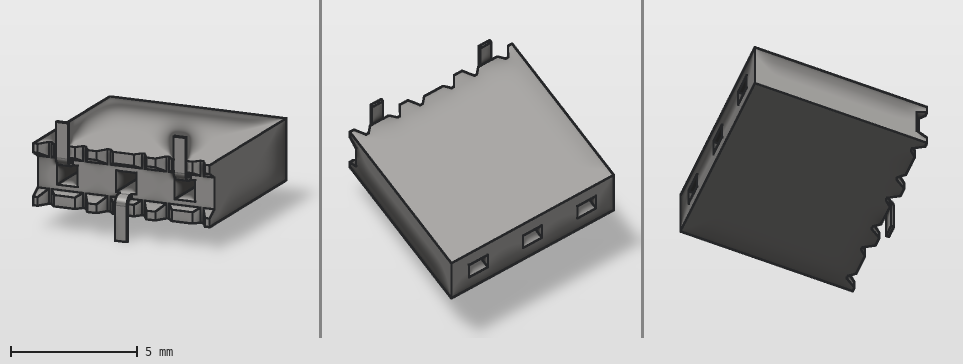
import cadquery as cq
import math

pitch = 2.54
contact_count = 3
overall_depth = 7.42
overall_height = 4.57

housing_width = contact_count * pitch
housing_height = 2.54

tooth_root_z = 0.65
tooth_slope_angle = 30.0
tall_tooth_length = 0.45
tall_tooth_tip_width = 0.39
tall_tooth_root_width = 0.95
short_tooth_length = 0.26
short_tooth_tip_width = 0.90
short_tooth_root_width = 1.356

passage_size = 0.88

tail_width = 0.51
tail_thickness = 0.127
tail_inner_radius = 2 * tail_thickness
tail_outer_radius = tail_inner_radius + tail_thickness
tail_reach = 0.515
tail_embed = 0.5

housing_depth = overall_depth - tail_reach
contact_xs = [(i - (contact_count - 1) / 2) * pitch for i in range(contact_count)]
divider_xs = [(i - contact_count / 2) * pitch for i in range(contact_count + 1)]


def make_block():
    """Plain housing block behind the front face."""
    return cq.Workplane("XY").box(housing_width, housing_depth, housing_height, centered=(True, False, True))


def make_tooth(x, length, tip_width, root_width):
    """Upper tooth: tapered in plan, with a sloping inner side."""
    plan = (
        cq.Workplane("XY")
        .polyline([
            (x - root_width / 2, 0),
            (x - tip_width / 2, -length),
            (x + tip_width / 2, -length),
            (x + root_width / 2, 0),
        ])
        .close()
        .extrude(housing_height / 2)
    )
    tip_z = tooth_root_z + length * math.tan(math.radians(tooth_slope_angle))
    side = (
        cq.Workplane("YZ")
        .polyline([
            (0, tooth_root_z),
            (-length, tip_z),
            (-length, housing_height / 2),
            (0, housing_height / 2),
        ])
        .close()
        .extrude(housing_width, both=True)
    )
    return plan.intersect(side)


def add_teeth(body):
    """Tall teeth between contacts, short teeth at contacts, mirrored to the lower edge."""
    teeth = [make_tooth(x, tall_tooth_length, tall_tooth_tip_width, tall_tooth_root_width) for x in divider_xs]
    teeth += [make_tooth(x, short_tooth_length, short_tooth_tip_width, short_tooth_root_width) for x in contact_xs]
    width_limit = cq.Workplane("XY").box(housing_width, overall_depth, housing_height)
    for tooth in teeth:
        trimmed = tooth.intersect(width_limit)
        body = body.union(trimmed).union(trimmed.mirror("XY"))
    return body


def make_passage(x):
    """Cutter for one passage running the full depth of the housing."""
    return (
        cq.Workplane("XY")
        .box(passage_size, housing_depth, passage_size, centered=(True, False, True))
        .translate((x, 0, 0))
    )


def make_tail(x):
    """Upward tail: leaves the front face at the passage wall, then bends to run along Z."""
    inner_z = passage_size / 2
    bend_z = inner_z + tail_outer_radius
    bend_y = tail_outer_radius - tail_reach
    end_z = overall_height / 2
    diagonal = math.sqrt(0.5)
    outer_mid = (bend_y - tail_outer_radius * diagonal, bend_z - tail_outer_radius * diagonal)
    inner_mid = (bend_y - tail_inner_radius * diagonal, bend_z - tail_inner_radius * diagonal)
    return (
        cq.Workplane("YZ")
        .moveTo(tail_embed, inner_z)
        .lineTo(bend_y, inner_z)
        .threePointArc(outer_mid, (-tail_reach, bend_z))
        .lineTo(-tail_reach, end_z)
        .lineTo(-tail_reach + tail_thickness, end_z)
        .lineTo(-tail_reach + tail_thickness, bend_z)
        .threePointArc(inner_mid, (bend_y, inner_z + tail_thickness))
        .lineTo(tail_embed, inner_z + tail_thickness)
        .close()
        .extrude(tail_width / 2, both=True)
        .translate((x, 0, 0))
    )


result = add_teeth(make_block())
for contact_x in contact_xs:
    result = result.cut(make_passage(contact_x))

for index, contact_x in enumerate(contact_xs):
    tail = make_tail(contact_x)
    if index % 2 == 1:
        tail = tail.mirror("XY")
    result = result.union(tail)